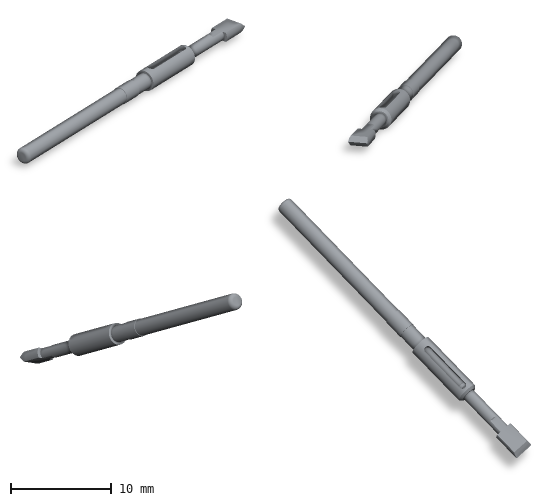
import cadquery as cq

total_length = 35.1

barrel_diameter = 1.7
band_diameter = 1.8
sleeve_diameter = 2.2
shaft_diameter = 1.3
head_diameter = 2.0

head_length = 3.0
shaft_length = 5.1
sleeve_length = 7.02
neck_length = 2.0
band_length = 2.0

sleeve_chamfer = 0.25
tail_radius = 0.4

flat_thickness = 1.02
flat_length = 4.5

slot_width = 0.75
slot_length = 5.75
slot_front_gap = 0.53
ring_diameter = 1.5
ring_front_gap = 0.18
ring_length = 0.5
ring_chamfer = 0.1

head_back = total_length - head_length
sleeve_front = head_back - shaft_length
sleeve_back = sleeve_front - sleeve_length
band_front = sleeve_back - neck_length
band_back = band_front - band_length


def rod(diameter, y_back, y_front):
    """Solid cylinder along Y between two stations."""
    return cq.Workplane("XZ", origin=(0, y_back, 0)).circle(diameter / 2).extrude(y_back - y_front)


def make_turned_body():
    barrel = rod(barrel_diameter, 0, sleeve_front).faces("<Y").edges().fillet(tail_radius)
    sleeve = rod(sleeve_diameter, sleeve_back, sleeve_front).faces(">Y").edges().chamfer(sleeve_chamfer)
    return (
        barrel.union(rod(band_diameter, band_back, band_front))
        .union(sleeve)
        .union(rod(shaft_diameter, sleeve_front, head_back))
        .union(rod(head_diameter, head_back, total_length))
    )


def make_tip_waste():
    """Material around the flat blade and its 45 degree chisel edge."""
    half_thickness = flat_thickness / 2
    flat_back = total_length - flat_length
    blank = cq.Workplane("XY").box(head_diameter, flat_length, head_diameter)
    blank = blank.translate((0, total_length - flat_length / 2, 0))
    blade = (
        cq.Workplane("YZ", origin=(-head_diameter / 2, 0, 0))
        .moveTo(flat_back, -half_thickness)
        .lineTo(total_length - half_thickness, -half_thickness)
        .lineTo(total_length, 0)
        .lineTo(total_length - half_thickness, half_thickness)
        .lineTo(flat_back, half_thickness)
        .close()
        .extrude(head_diameter)
    )
    return blank.cut(blade)


def make_slot():
    """Round-ended slot down to the shaft diameter, leaving a bevelled ring near its front."""
    slot_front = sleeve_front - slot_front_gap
    opening = (
        cq.Workplane("XY", origin=(0, slot_front - slot_length / 2, 0))
        .slot2D(slot_length, slot_width, 90)
        .extrude(sleeve_diameter)
    )
    ring_front = slot_front - ring_front_gap
    floor = rod(shaft_diameter, sleeve_back, sleeve_front)
    ring = rod(ring_diameter, ring_front - ring_length, ring_front)
    ring = ring.faces("|Y").edges().chamfer(ring_chamfer)
    return opening.cut(floor).cut(ring)


result = make_turned_body().cut(make_tip_waste()).cut(make_slot())